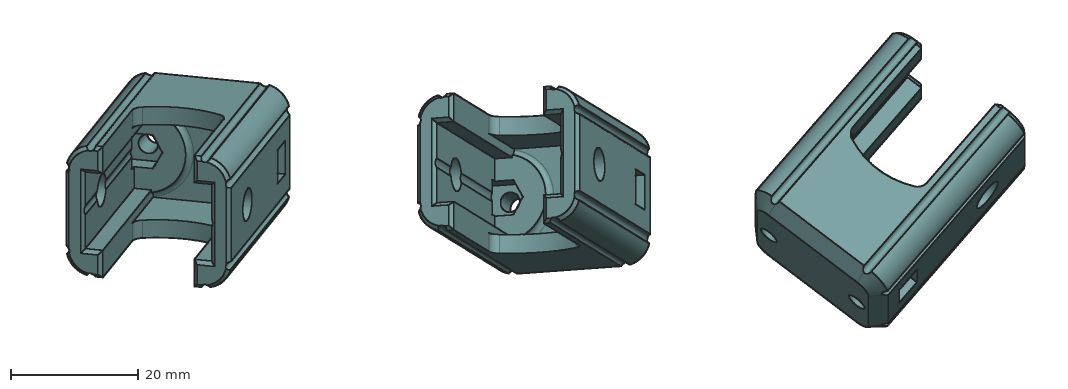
import cadquery as cq
import math

length = 37.0
width = 27.0
height = 22.0
corner_radius = 4.5
back_chamfer = 2.22
front_chamfer = 0.63
back_y = length / 2
front_y = -length / 2

gap_half_width = 7.47
gap_depth_from_back = 16.2
gap_arc_radius = 15.0
gap_corner_radius = 1.95
slot_width = 20.65
slot_height = 12.88
pocket_height = 16.0

bolt_x = 8.9
bolt_diameter = 3.2
boss_radius = 7.03
boss_fillet = pocket_height / 2 - boss_radius
boss_face_y = back_y - 8.15
floor_y = boss_face_y + boss_fillet
nut_flats = 5.62
nut_seat_y = back_y - 4.92
nut_slot_length = 4.48

cross_hole_diameter = 5.25
cross_hole_y = back_y - 26.97

groove_radius = 0.75
groove_x = 9.35
groove_z = 6.92


def along_y(start_y):
    """Sketch plane facing -Y, so that a positive extrusion runs toward the open end."""
    return cq.Workplane("XZ", origin=(0, start_y, 0))


def make_outer_block():
    block = along_y(back_y).rect(width, height).extrude(length)
    block = block.edges("|Y").fillet(corner_radius)
    return block.faces(">Y").chamfer(back_chamfer)


def make_gap_outline():
    """Plan of the gap: straight sides, an arched end and rounded corners between them."""
    arc_y = back_y - gap_depth_from_back - gap_arc_radius
    corner_x = gap_half_width - gap_corner_radius
    center_distance = gap_arc_radius - gap_corner_radius
    corner_y = arc_y + math.sqrt(center_distance**2 - corner_x**2)
    tangent_angle = math.atan2(corner_y - arc_y, corner_x)
    tangent_x = gap_arc_radius * math.cos(tangent_angle)
    tangent_y = arc_y + gap_arc_radius * math.sin(tangent_angle)
    middle_x = corner_x + gap_corner_radius * math.cos(tangent_angle / 2)
    middle_y = corner_y + gap_corner_radius * math.sin(tangent_angle / 2)
    return (
        cq.Workplane("XY", origin=(0, 0, -height / 2))
        .moveTo(-gap_half_width, front_y)
        .lineTo(gap_half_width, front_y)
        .lineTo(gap_half_width, corner_y)
        .threePointArc((middle_x, middle_y), (tangent_x, tangent_y))
        .threePointArc((0, arc_y + gap_arc_radius), (-tangent_x, tangent_y))
        .threePointArc((-middle_x, middle_y), (-gap_half_width, corner_y))
        .close()
    )


def make_boss(x):
    """Round boss flaring through a concave fillet into the cavity floor."""
    base_radius = boss_radius + boss_fillet
    arc_inset = boss_fillet * (1 - math.sqrt(0.5))
    return (
        cq.Workplane("XY")
        .moveTo(0, floor_y)
        .lineTo(base_radius, floor_y)
        .threePointArc(
            (boss_radius + arc_inset, floor_y - arc_inset),
            (boss_radius, boss_face_y),
        )
        .lineTo(0, boss_face_y)
        .close()
        .revolve(360, (0, 0, 0), (0, 1, 0))
        .translate((x, 0, 0))
    )


def make_cavity():
    depth = floor_y - front_y
    slot = along_y(floor_y).rect(slot_width, slot_height).extrude(depth)
    pocket = along_y(floor_y).rect(2 * gap_half_width, pocket_height).extrude(depth)
    cavity = slot.union(pocket)
    for x in (-bolt_x, bolt_x):
        cavity = cavity.cut(make_boss(x))
    return cavity


def make_nut_trap(side):
    """Hexagonal nut seat, open to the side wall (side is -1 or 1)."""
    corner_diameter = nut_flats / math.cos(math.radians(30))
    seat = (
        along_y(nut_seat_y)
        .center(side * bolt_x, 0)
        .polygon(6, corner_diameter)
        .extrude(nut_slot_length)
    )
    slot_reach = width / 2 - bolt_x
    side_slot = (
        along_y(nut_seat_y)
        .center(side * (bolt_x + slot_reach / 2), 0)
        .rect(slot_reach, nut_flats)
        .extrude(nut_slot_length)
    )
    return seat.union(side_slot)


body = make_outer_block()
body = body.cut(make_gap_outline().extrude(height))
body = body.cut(make_cavity())
body = body.faces("<Y").chamfer(front_chamfer)

for side in (-1, 1):
    body = body.cut(make_nut_trap(side))
bolt_holes = along_y(back_y).pushPoints([(-bolt_x, 0), (bolt_x, 0)]).circle(bolt_diameter / 2)
body = body.cut(bolt_holes.extrude(length))

cross_hole = cq.Workplane("YZ", origin=(-width / 2, cross_hole_y, 0)).circle(cross_hole_diameter / 2)
body = body.cut(cross_hole.extrude(width))

groove_centers = []
for x_sign in (-1, 1):
    for z_sign in (-1, 1):
        groove_centers.append((x_sign * groove_x, z_sign * height / 2))
        groove_centers.append((x_sign * width / 2, z_sign * groove_z))
grooves = along_y(back_y).pushPoints(groove_centers).circle(groove_radius).extrude(length)

result = body.cut(grooves)